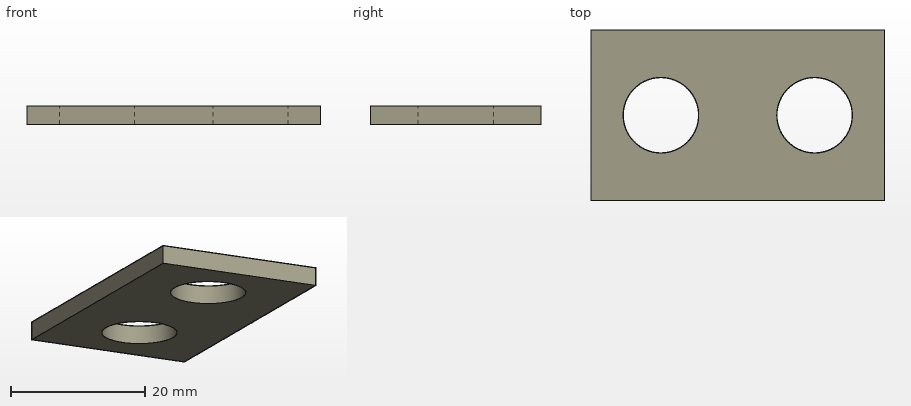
import cadquery as cq

length = 43.7
width = 25.4
thickness = 2.75

hole_diameter = 11.2
hole_spacing = 22.85

plate = cq.Workplane("XY").box(length, width, thickness)

hole_centres = [(-hole_spacing / 2, 0), (hole_spacing / 2, 0)]
result = plate.faces(">Z").workplane().pushPoints(hole_centres).hole(hole_diameter)